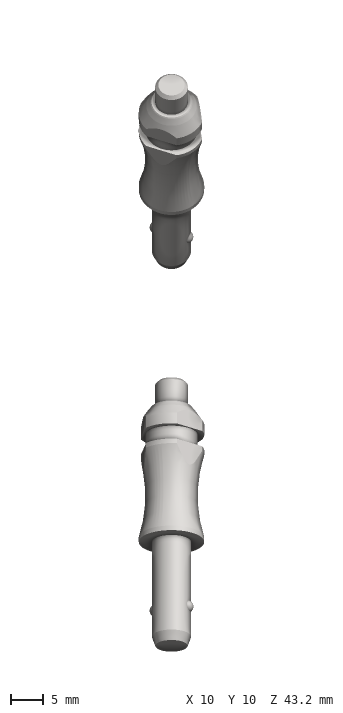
import cadquery as cq
import math


SHANK_RADIUS = 3.0
SHANK_LENGTH = 17.0
TIP_RADIUS = 2.45
TIP_HEIGHT = 1.5
BALL_RADIUS = 1.0
BALL_PROJECTION = 0.5
BALL_Z = -10.9

RIM_RADIUS = 5.0
WAIST_RADIUS = 4.0
HANDLE_HEIGHT = 15.0
RIM_HEIGHT = 0.75

NECK_RADIUS = 4.0
COLLAR_BOTTOM_Z = 17.5
COLLAR_BAND_HEIGHT = 1.75
SHOULDER_Z = 21.0
SHOULDER_RADIUS = 3.85
COLLAR_TOP_Z = 22.0
COLLAR_TOP_RADIUS = 3.2
COLLAR_EDGE_BREAK = 0.15

STUD_RADIUS = 2.5
STUD_TOP_Z = 26.2
STUD_CHAMFER = 0.5

FLAT_COUNT = 3
HEXAGON_SIDES = 6
FLAT_DISTANCE = RIM_RADIUS * math.cos(math.pi / HEXAGON_SIDES)
FIRST_FLAT_ANGLE = -90.0


def turned_body():
    """Revolve the half outline of the pin, listed from the tip upwards."""
    collar_band_top = COLLAR_BOTTOM_Z + COLLAR_BAND_HEIGHT
    outline = (
        cq.Workplane("XZ")
        .moveTo(0, -SHANK_LENGTH)
        .lineTo(TIP_RADIUS, -SHANK_LENGTH)
        .lineTo(SHANK_RADIUS, TIP_HEIGHT - SHANK_LENGTH)
        .lineTo(SHANK_RADIUS, 0)
        .lineTo(RIM_RADIUS, 0)
        .lineTo(RIM_RADIUS, RIM_HEIGHT)
        .threePointArc((WAIST_RADIUS, HANDLE_HEIGHT / 2), (RIM_RADIUS, HANDLE_HEIGHT - RIM_HEIGHT))
        .lineTo(RIM_RADIUS, HANDLE_HEIGHT)
        .lineTo(NECK_RADIUS, HANDLE_HEIGHT)
        .lineTo(NECK_RADIUS, COLLAR_BOTTOM_Z)
        .lineTo(RIM_RADIUS, COLLAR_BOTTOM_Z)
        .lineTo(RIM_RADIUS, collar_band_top)
        .lineTo(SHOULDER_RADIUS, SHOULDER_Z)
        .lineTo(COLLAR_TOP_RADIUS, COLLAR_TOP_Z - COLLAR_EDGE_BREAK)
        .lineTo(COLLAR_TOP_RADIUS - COLLAR_EDGE_BREAK, COLLAR_TOP_Z)
        .lineTo(STUD_RADIUS, COLLAR_TOP_Z)
        .lineTo(STUD_RADIUS, STUD_TOP_Z - STUD_CHAMFER)
        .lineTo(STUD_RADIUS - STUD_CHAMFER, STUD_TOP_Z)
        .lineTo(0, STUD_TOP_Z)
        .close()
    )
    return outline.revolve(360, (0, 0, 0), (0, 1, 0))


def locking_ball(side):
    """Ball standing out of the shank on the +X (1) or -X (-1) side."""
    center_x = side * (SHANK_RADIUS + BALL_PROJECTION - BALL_RADIUS)
    return cq.Workplane("XY").sphere(BALL_RADIUS).translate((center_x, 0, BALL_Z))


def flat_cutter(angle):
    """Block removing everything beyond one flat of the collar and upper handle."""
    bottom_z = HANDLE_HEIGHT / 2
    block = cq.Workplane("XY").box(
        RIM_RADIUS, 2 * RIM_RADIUS, COLLAR_TOP_Z - bottom_z, centered=(False, True, False)
    )
    return block.translate((FLAT_DISTANCE, 0, bottom_z)).rotate((0, 0, 0), (0, 0, 1), angle)


result = turned_body()
for ball_side in (-1, 1):
    result = result.union(locking_ball(ball_side))
for index in range(FLAT_COUNT):
    result = result.cut(flat_cutter(FIRST_FLAT_ANGLE + index * 360 / FLAT_COUNT))